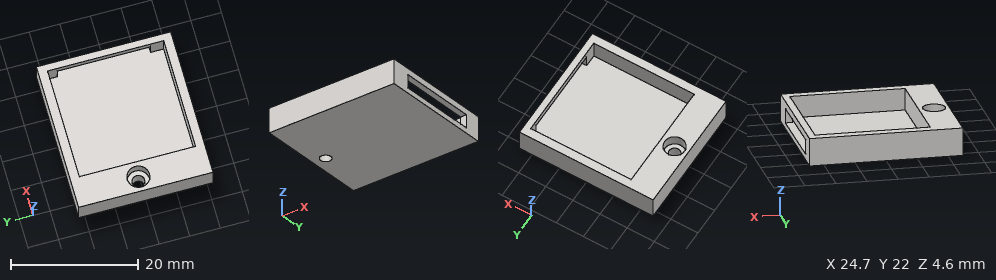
import cadquery as cq

length = 24.68
width = 22.0
height = 4.6

floor_thickness = 1.0
side_wall = 1.5
mount_wall = 4.95
window_wall = 1.18
pocket_length = length - mount_wall - window_wall
pocket_width = width - 2 * side_wall
pocket_depth = height - floor_thickness

window_height = 2.4
window_left_margin = 1.63
window_right_margin = 2.15
window_width = pocket_width - window_left_margin - window_right_margin
window_center_y = (window_right_margin - window_left_margin) / 2

hole_diameter = 2.0
counterbore_diameter = 3.6
counterbore_depth = 2.0
hole_from_end = 2.45
hole_offset_y = 0.55


def make_block():
    return cq.Workplane("XY").box(length, width, height, centered=(True, True, False))


def cut_pocket(body):
    center_x = (mount_wall - window_wall) / 2
    pocket = (
        cq.Workplane("XY", origin=(center_x, 0, floor_thickness))
        .rect(pocket_length, pocket_width)
        .extrude(pocket_depth)
    )
    return body.cut(pocket)


def cut_window(body):
    window = (
        cq.Workplane("XY", origin=(length / 2 - window_wall / 2, window_center_y, floor_thickness))
        .rect(window_wall, window_width)
        .extrude(window_height)
    )
    return body.cut(window)


def drill_screw_hole(body):
    return (
        body.faces(">Z")
        .workplane(origin=(hole_from_end - length / 2, hole_offset_y, height))
        .cboreHole(hole_diameter, counterbore_diameter, counterbore_depth)
    )


result = drill_screw_hole(cut_window(cut_pocket(make_block())))